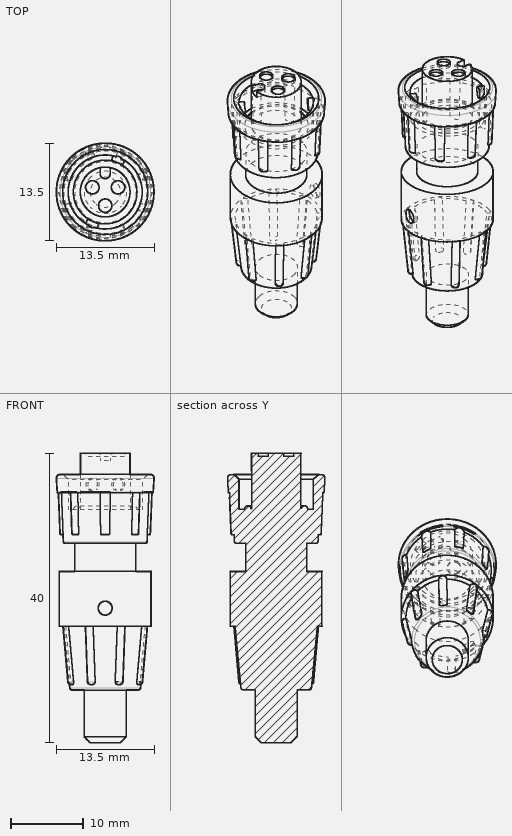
import cadquery as cq
import math

TOTAL_LENGTH = 40.0
GRIP_BOTTOM = 7.3
COLLAR_BOTTOM = 16.1
COLLAR_TOP = 23.7
NUT_BOTTOM = 27.55
FLANGE_BOTTOM = 34.53
NUT_TOP = 37.1
CAVITY_FLOOR = 32.3

CABLE_RADIUS = 2.92
CABLE_CHAMFER = 0.85

GRIP_BOTTOM_RADIUS = 4.9
GRIP_TOP_RADIUS = 5.72
GRIP_FILLET = 0.35
GRIP_RIB_RADIUS = 0.55
GRIP_RIB_BOTTOM = 8.05
GRIP_RIB_FILLET = 0.45

COLLAR_RADIUS = 6.35
SIDE_HOLE_RADIUS = 0.95
SIDE_HOLE_DEPTH = 0.65
SIDE_HOLE_HEIGHT = 18.6

NECK_RADIUS = 4.25
NUT_BOTTOM_RADIUS = 5.8
NUT_TOP_RADIUS = 6.1
NUT_EDGE_FILLET = 0.25
FLANGE_BOTTOM_RADIUS = 6.65
FLANGE_RADIUS = 6.8
FLANGE_TOP_FILLET = 0.52
FLANGE_BOTTOM_FILLET = 0.15
NUT_RIB_BOTTOM = 28.73
NUT_RIB_BOTTOM_RADIUS = 0.7
NUT_RIB_TOP_RADIUS = 0.75
NUT_RIB_PROUD = 0.4
NUT_RIB_FILLET = 0.25
RIB_COUNT = 8

CAVITY_RADIUS = 5.12
MOUTH_RADIUS = 5.9
MOUTH_DEPTH = 0.65
RING_OUTER_RADIUS = 4.4
LUG_RADIUS = 0.85
LUG_TOP = 36.55
LUG_INNER_RADIUS = RING_OUTER_RADIUS
LUG_ANGLES = (68.0, 248.0)

INSERT_RADIUS = 3.45
CONTACT_CIRCLE_RADIUS = 1.9
CONTACT_RADIUS = 0.92
CONTACT_DEPTH = 0.4
CONTACT_ANGLES = (20.0, 160.0, 270.0)
KEYWAY_WIDTH = 1.35
KEYWAY_INNER_Y = 1.85
KEYWAY_DEPTH = 1.0


def cylinder(radius, bottom, top):
    return cq.Workplane("XY").workplane(offset=bottom).circle(radius).extrude(top - bottom)


def cone(bottom_radius, top_radius, bottom, top):
    """Frustum about the connector axis."""
    return (
        cq.Workplane("XZ")
        .moveTo(0, bottom)
        .lineTo(bottom_radius, bottom)
        .lineTo(top_radius, top)
        .lineTo(0, top)
        .close()
        .revolve(360, (0, 0, 0), (0, 1, 0))
    )


def ribs(bottom_section, top_section, end_fillet, first_angle):
    """Evenly spaced round ribs; each section is (height, axis distance, rib radius)."""
    bottom, bottom_distance, bottom_radius = bottom_section
    top, top_distance, top_radius = top_section
    rib = (
        cq.Workplane("XY", origin=(-bottom_distance, 0, bottom))
        .circle(bottom_radius)
        .workplane(offset=top - bottom)
        .center(bottom_distance - top_distance, 0)
        .circle(top_radius)
        .loft(ruled=True)
        .faces("<Z")
        .edges()
        .fillet(end_fillet)
    )
    group = cq.Workplane("XY")
    for index in range(RIB_COUNT):
        angle = first_angle + index * 360.0 / RIB_COUNT
        group = group.add(rib.rotate((0, 0, 0), (0, 0, 1), angle))
    return group.combine()


def make_cable():
    return cylinder(CABLE_RADIUS, 0, GRIP_BOTTOM).faces("<Z").chamfer(CABLE_CHAMFER)


def make_grip():
    """Cone with ribs that lie along its surface, set between the X and Y axes."""
    body = cone(GRIP_BOTTOM_RADIUS, GRIP_TOP_RADIUS, GRIP_BOTTOM, COLLAR_BOTTOM)
    body = body.faces("<Z").edges().fillet(GRIP_FILLET)
    slope = (GRIP_TOP_RADIUS - GRIP_BOTTOM_RADIUS) / (COLLAR_BOTTOM - GRIP_BOTTOM)
    rib_start = GRIP_BOTTOM_RADIUS + slope * (GRIP_RIB_BOTTOM - GRIP_BOTTOM)
    grip_ribs = ribs(
        (GRIP_RIB_BOTTOM, rib_start, GRIP_RIB_RADIUS),
        (COLLAR_BOTTOM, GRIP_TOP_RADIUS, GRIP_RIB_RADIUS),
        GRIP_RIB_FILLET,
        180.0 / RIB_COUNT,
    )
    return body.union(grip_ribs)


def make_collar():
    """Plain collar with a shallow blind hole in its side."""
    collar = cylinder(COLLAR_RADIUS, COLLAR_BOTTOM, COLLAR_TOP)
    hole = (
        cq.Workplane("XZ", origin=(0, SIDE_HOLE_DEPTH - COLLAR_RADIUS, SIDE_HOLE_HEIGHT))
        .circle(SIDE_HOLE_RADIUS)
        .extrude(COLLAR_RADIUS)
    )
    return collar.cut(hole)


def make_nut():
    """Ribbed, slightly tapered nut with a flange and an open cavity."""
    body = cone(NUT_BOTTOM_RADIUS, NUT_TOP_RADIUS, NUT_BOTTOM, FLANGE_BOTTOM)
    body = body.faces("<Z").edges().fillet(NUT_EDGE_FILLET)
    flange = cone(FLANGE_BOTTOM_RADIUS, FLANGE_RADIUS, FLANGE_BOTTOM, NUT_TOP)
    flange = flange.faces(">Z").edges().fillet(FLANGE_TOP_FILLET)
    flange = flange.faces("<Z").edges().fillet(FLANGE_BOTTOM_FILLET)

    slope = (NUT_TOP_RADIUS - NUT_BOTTOM_RADIUS) / (FLANGE_BOTTOM - NUT_BOTTOM)
    rib_crest_start = NUT_BOTTOM_RADIUS + slope * (NUT_RIB_BOTTOM - NUT_BOTTOM) + NUT_RIB_PROUD
    rib_crest_end = NUT_TOP_RADIUS + NUT_RIB_PROUD
    nut_ribs = ribs(
        (NUT_RIB_BOTTOM, rib_crest_start - NUT_RIB_BOTTOM_RADIUS, NUT_RIB_BOTTOM_RADIUS),
        (FLANGE_BOTTOM, rib_crest_end - NUT_RIB_TOP_RADIUS, NUT_RIB_TOP_RADIUS),
        NUT_RIB_FILLET,
        0.0,
    )
    bore = cylinder(CAVITY_RADIUS, CAVITY_FLOOR, NUT_TOP)
    mouth = cone(CAVITY_RADIUS, MOUTH_RADIUS, NUT_TOP - MOUTH_DEPTH, NUT_TOP)
    return body.union(nut_ribs).union(flange).cut(bore).cut(mouth)


def make_lugs():
    """Round bayonet pins pointing inward from the cavity wall."""
    length = MOUTH_RADIUS - LUG_INNER_RADIUS
    lug = (
        cq.Workplane("YZ", origin=(LUG_INNER_RADIUS, 0, LUG_TOP - LUG_RADIUS))
        .circle(LUG_RADIUS)
        .extrude(length)
    )
    lugs = cq.Workplane("XY")
    for angle in LUG_ANGLES:
        lugs = lugs.add(lug.rotate((0, 0, 0), (0, 0, 1), angle))
    return lugs.combine()


def make_sealing_ring():
    """Rounded ring on the cavity floor, filling the gap around the insert."""
    tube_radius = (RING_OUTER_RADIUS - INSERT_RADIUS) / 2
    ring_radius = INSERT_RADIUS + tube_radius
    return (
        cq.Workplane("XZ")
        .moveTo(ring_radius, CAVITY_FLOOR)
        .circle(tube_radius)
        .revolve(360, (0, 0, 0), (0, 1, 0))
    )


def make_insert():
    """Round insert with three shallow contact holes and a keyway on its +Y side."""
    insert = cylinder(INSERT_RADIUS, CAVITY_FLOOR, TOTAL_LENGTH)
    contacts = [
        (
            CONTACT_CIRCLE_RADIUS * math.cos(math.radians(angle)),
            CONTACT_CIRCLE_RADIUS * math.sin(math.radians(angle)),
        )
        for angle in CONTACT_ANGLES
    ]
    holes = (
        cq.Workplane("XY", origin=(0, 0, TOTAL_LENGTH - CONTACT_DEPTH))
        .pushPoints(contacts)
        .circle(CONTACT_RADIUS)
        .extrude(CONTACT_DEPTH)
    )
    keyway = (
        cq.Workplane("XY", origin=(0, KEYWAY_INNER_Y, TOTAL_LENGTH - KEYWAY_DEPTH))
        .center(0, INSERT_RADIUS / 2)
        .slot2D(INSERT_RADIUS, KEYWAY_WIDTH, 90)
        .extrude(KEYWAY_DEPTH)
    )
    return insert.cut(holes).cut(keyway)


neck = cylinder(NECK_RADIUS, COLLAR_TOP, NUT_BOTTOM)

result = (
    make_cable()
    .union(make_grip())
    .union(make_collar())
    .union(neck)
    .union(make_nut())
    .union(make_lugs())
    .union(make_sealing_ring())
    .union(make_insert())
)